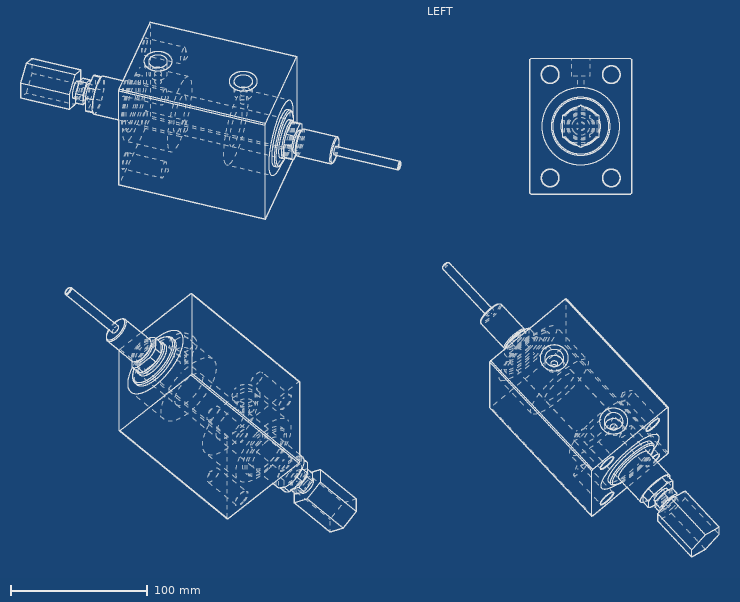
import cadquery as cq
import math


housing_length = 113.4
housing_width = 75.0
housing_height = 100.0
housing_edge_chamfer = 1.0

screw_spacing_y = 45.0
screw_spacing_z = 76.0
screw_hole_diameter = 12.5
screw_hole_depth = 30.0
screw_hole_chamfer = 0.4
drill_tip_angle = 118.0

port_positions = (18.2, 84.2)
spotface_diameter = 20.5
spotface_depth = 0.2
port_diameter = 13.5
port_depth = 13.0
oil_hole_diameter = 5.0

gland_diameter = 57.0
gland_depth = 35.0
collar_diameter = 43.0
collar_chamfer = 1.0
front_collar_height = 3.5
rear_collar_height = 3.0

rod_diameter = 29.0
rod_front_projection = 28.0
rod_rear_projection = 6.2
rod_rear_chamfer = 1.0
flats_diameter = 27.4
flats_width = 24.0
flats_length = 6.1

neck_diameter = 13.0
small_hex_width = 17.0
small_hex_length = 5.6
small_hex_front = -42.8
end_hex_width = 27.0
end_hex_length = 37.8
head_front = -83.8

sensor_neck_diameter = 17.4
sensor_neck_length = 1.8
sleeve_diameter = 20.6
sleeve_length = 27.8
sleeve_chamfer = 0.8
cable_diameter = 6.6
cable_end_chamfer = 0.6
overall_length = 289.2

rod_rear = housing_length + rod_rear_projection
rear_flats_end = rod_rear + flats_length
front_flats_start = -rod_front_projection - flats_length
sleeve_front = rear_flats_end + sensor_neck_length
sleeve_rear = sleeve_front + sleeve_length
cable_end = head_front + overall_length


def cylinder(start, end, diameter):
    """Round bar on the rod axis between two places along X."""
    return cq.Workplane("YZ", origin=(start, 0, 0)).circle(diameter / 2).extrude(end - start)


def hexagon(start, length, width):
    """Hexagonal bar on the rod axis with its flats facing +Y and -Y."""
    corner_diameter = width / math.cos(math.pi / 6)
    bar = cq.Workplane("YZ", origin=(start, 0, 0)).polygon(6, corner_diameter).extrude(length)
    return bar.rotate((0, 0, 0), (1, 0, 0), 90)


def wrench_flats(start):
    """Round bar with four flats facing Y and Z."""
    bar = cylinder(start, start + flats_length, flats_diameter)
    square = cq.Workplane("YZ", origin=(start, 0, 0)).rect(flats_width, flats_width).extrude(flats_length)
    return bar.intersect(square)


def screw_hole():
    """Blind drilled hole along X with a chamfered mouth and a conical bottom."""
    radius = screw_hole_diameter / 2
    tip_length = radius / math.tan(math.radians(drill_tip_angle / 2))
    profile = [
        (0, 0),
        (0, radius + screw_hole_chamfer),
        (screw_hole_chamfer, radius),
        (screw_hole_depth, radius),
        (screw_hole_depth + tip_length, 0),
    ]
    return cq.Workplane("XY").polyline(profile).close().revolve(360, (0, 0, 0), (1, 0, 0))


def port(x):
    """Spotfaced port in the top face, with an oil hole down to the gland."""
    top = cq.Workplane("XY", origin=(x, 0, housing_height / 2))
    spotface = top.circle(spotface_diameter / 2).extrude(-spotface_depth)
    bore = top.circle(port_diameter / 2).extrude(-port_depth)
    oil_hole = top.circle(oil_hole_diameter / 2).extrude(-housing_height / 2)
    return spotface.union(bore).union(oil_hole)


def make_housing():
    body = cq.Workplane("XY").box(
        housing_length, housing_width, housing_height, centered=(False, True, True)
    )
    body = body.edges("|X").chamfer(housing_edge_chamfer)
    body = body.cut(cylinder(0, housing_length, rod_diameter))
    body = body.cut(cylinder(0, gland_depth, gland_diameter))
    body = body.cut(cylinder(housing_length - gland_depth, housing_length, gland_diameter))
    for side_y in (-1, 1):
        for side_z in (-1, 1):
            place = (0, side_y * screw_spacing_y / 2, side_z * screw_spacing_z / 2)
            body = body.cut(screw_hole().translate(place))
    for x in port_positions:
        body = body.cut(port(x))
    return body


def make_front_gland():
    plug = cylinder(0, gland_depth, gland_diameter)
    collar = cylinder(-front_collar_height, 0, collar_diameter)
    collar = collar.faces("<X").chamfer(collar_chamfer)
    return plug.union(collar).cut(cylinder(-front_collar_height, gland_depth, rod_diameter))


def make_rear_gland():
    plug_front = housing_length - gland_depth
    collar_rear = housing_length + rear_collar_height
    plug = cylinder(plug_front, housing_length, gland_diameter)
    collar = cylinder(housing_length, collar_rear, collar_diameter)
    collar = collar.faces(">X").chamfer(collar_chamfer)
    return plug.union(collar).cut(cylinder(plug_front, collar_rear, rod_diameter))


def make_rod():
    bar = cylinder(-rod_front_projection, rod_rear, rod_diameter)
    bar = bar.faces(">X").chamfer(rod_rear_chamfer)
    end_hex = hexagon(head_front, end_hex_length, end_hex_width)
    small_hex = hexagon(small_hex_front, small_hex_length, small_hex_width)
    neck = cylinder(head_front + end_hex_length, front_flats_start, neck_diameter)
    front_flats = wrench_flats(front_flats_start)
    rear_flats = wrench_flats(rod_rear)
    return bar.union(front_flats).union(rear_flats).union(neck).union(small_hex).union(end_hex)


def make_sensor():
    neck = cylinder(rear_flats_end, sleeve_front, sensor_neck_diameter)
    sleeve = cylinder(sleeve_front, sleeve_rear, sleeve_diameter)
    sleeve = sleeve.faces("<X or >X").chamfer(sleeve_chamfer)
    cable = cylinder(sleeve_rear, cable_end, cable_diameter)
    cable = cable.faces(">X").chamfer(cable_end_chamfer)
    return neck.union(sleeve).union(cable)


housing = make_housing()
front_gland = make_front_gland()
rear_gland = make_rear_gland()
rod = make_rod()
sensor = make_sensor()

result = cq.Compound.makeCompound(
    [housing.val(), front_gland.val(), rear_gland.val(), rod.val(), sensor.val()]
)